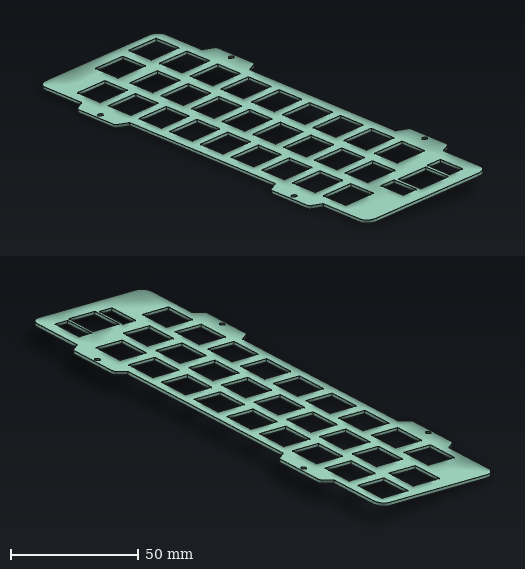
import cadquery as cq


plate_length = 204.53
body_width = 61.69
thickness = 1.5
tilt_angle = 7.5
corner_radius = 4.76

tab_offset_x = 60.0
tab_reach = 5.0
tab_base_length = 29.7
tab_tip_length = 23.8
tab_tip_radius = 2.0
tab_overlap = 1.0
screw_hole_diameter = 2.2
screw_hole_offset_y = 33.5

key_pitch = 19.05
switch_cutout = 14.0
first_key_x = -90.5
top_row_y = key_pitch
middle_row_y = 0.0
bottom_row_y = -key_pitch
keys_per_row = 9
middle_row_shift = key_pitch / 8
wide_key_extra_step = key_pitch / 8
bottom_row_shift = key_pitch * 3 / 4

tall_key_offset_in_keys = 9.375
tall_key_x = first_key_x + tall_key_offset_in_keys * key_pitch
tall_key_y = key_pitch / 2
stabilizer_length = 13.8
stabilizer_width = 6.65
stabilizer_shift_x = -0.9
stabilizer_spacing = 23.8

overcut = 1.0


def make_body():
    body = cq.Workplane("XY").box(plate_length, body_width, thickness)
    return body.edges("|Z").fillet(corner_radius)


def make_tab(center_x, side):
    """Tapered tab on the +Y (side = 1) or -Y (side = -1) edge of the body."""
    base_y = side * body_width / 2
    root_y = side * (body_width / 2 - tab_overlap)
    tip_y = side * (body_width / 2 + tab_reach)
    outline = [
        (center_x - tab_base_length / 2, base_y),
        (center_x - tab_tip_length / 2, tip_y),
        (center_x + tab_tip_length / 2, tip_y),
        (center_x + tab_base_length / 2, base_y),
        (center_x + tab_base_length / 2, root_y),
        (center_x - tab_base_length / 2, root_y),
    ]
    bottom = cq.Workplane("XY").workplane(offset=-thickness / 2)
    tab = bottom.polyline(outline).close().extrude(thickness)
    tip_face = ">Y" if side > 0 else "<Y"
    return tab.faces(tip_face).edges("|Z").fillet(tab_tip_radius)


def switch_centers():
    centers = [(tall_key_x, tall_key_y)]
    for column in range(keys_per_row):
        row_x = first_key_x + column * key_pitch
        wide_step = wide_key_extra_step if column > 0 else 0
        centers.append((row_x, top_row_y))
        centers.append((row_x + middle_row_shift + wide_step, middle_row_y))
        centers.append((row_x + bottom_row_shift, bottom_row_y))
    return centers


def stabilizer_centers():
    slot_x = tall_key_x + stabilizer_shift_x
    return [(slot_x, tall_key_y + side * stabilizer_spacing / 2) for side in (1, -1)]


def make_rectangular_cutters(centers, length, width):
    return cq.Workplane("XY").pushPoints(centers).box(length, width, thickness + 2 * overcut)


plate = make_body()
screw_holes = []
for tab_x in (-tab_offset_x, tab_offset_x):
    for tab_side in (1, -1):
        plate = plate.union(make_tab(tab_x, tab_side))
        screw_holes.append((tab_x, tab_side * screw_hole_offset_y))

plate = plate.cut(make_rectangular_cutters(switch_centers(), switch_cutout, switch_cutout))
plate = plate.cut(make_rectangular_cutters(stabilizer_centers(), stabilizer_length, stabilizer_width))
plate = plate.faces(">Z").workplane(origin=(0, 0, 0)).pushPoints(screw_holes).hole(screw_hole_diameter)

result = plate.rotate((0, 0, 0), (1, 0, 0), tilt_angle)